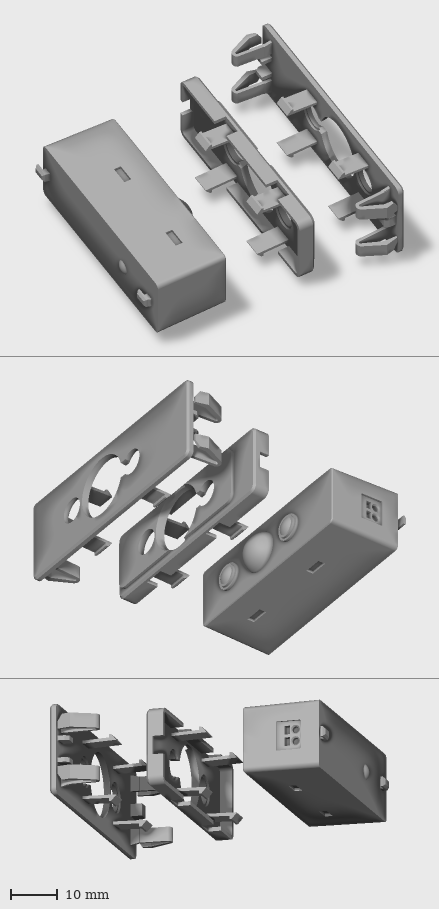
import cadquery as cq
import math


eye_x = 3.0
lens_xs = (-7.85, 14.0)
tab_xs = (-7.65, 13.9)
eye_inner_radius = 7.05
lens_hole_radius = 2.95
lens_counterbore_radius = 3.45
lens_counterbore_depth = 0.5
neck_half_height = 1.9
edge_chamfer = 0.5

plate_length = 57.1
plate_height = 20.0
plate_thickness = 1.5
plate_corner_radius = 1.4
plate_tab_width = 4.35
plate_tab_tip_y = -9.0
plate_eye_radius = 7.25

clip_bulge_x = 29.5
clip_bulge_y = -4.9
arm_tip_x = 28.7
arm_inner_x = 28.2
arm_knee_y = -4.8
bend_x = 26.0
bend_bottom_y = -10.45
bend_start_y = -9.8
bend_half_width = 1.1
crotch_x = 25.9
crotch_bottom_y = -9.7
crotch_start_y = -9.5
crotch_half_width = 0.3
clip_inner_z = 4.15
clip_outer_z = 7.3
clip_tip_y = -1.85
clip_tip_bevel_depth = 1.1
clip_tip_bevel_height = 1.55
leg_face_x = 24.4
leg_thickness = 0.7
gusset_height = 0.4
gusset_depth = 1.9

stop_outer_x = 27.55
stop_depth = 2.55
stop_bevel_width = 0.65
stop_bevel_depth = 0.9
wide_stop_height = 2.7
narrow_stop_height = 1.0
narrow_stop_z = 2.4

frame_center_x = 0.5
frame_length = 49.9
frame_height = 16.9
frame_corner_radius = 1.7
frame_face_y = -20.3
frame_back_y = -24.2
frame_wall = 0.9
frame_floor = 1.1
frame_inner_radius = frame_corner_radius - frame_wall
bezel_height = 0.8
bezel_start_x = -17.0
bezel_end_x = 24.0
bezel_width = 14.0
bezel_corner_radius = 1.9
frame_eye_radius = 7.55
frame_tab_width = 4.5
frame_tab_tip_y = -29.2
tab_slot_width = 5.0
cable_notch_width = 4.05
cable_notch_depth = 2.4

tab_inner_z = 5.8
tab_thickness = 0.65
tab_lean = 0.25
hook_peak_z = 7.4
hook_length = 1.55
hook_flat = 0.5
hook_nose = 0.2

housing_center_x = 0.5
housing_face_y = -41.55
housing_back_y = -58.7
housing_face_length = 47.6
housing_back_length = 48.1
housing_face_height = 14.5
housing_back_height = 14.95
housing_corner_radius = 1.0
housing_edge_chamfer = 0.25

dome_radius = 4.7
dome_height = 3.55
lens_rings = ((3.15, 0.65), (2.6, 1.2))
lens_cap_radius = 2.05
lens_height = 1.85

snap_slot_width = 4.4
snap_slot_start_y = -47.6
snap_slot_end_y = -49.25
snap_slot_bottom_z = 6.7

button_x = 9.9
button_radius = 1.6
button_height = 0.65

foot_tip_xs = (-24.5, 18.1)
foot_length = 3.55
foot_width = 2.2
foot_drop = 1.6
foot_gap = 0.7
foot_stem_x = 1.9
foot_flare = 0.3
foot_bevel = 0.5

recess_start_y = -49.15
recess_end_y = -54.65
recess_width = 6.4
recess_depth = 0.6
recess_corner_radius = 0.3
port_z = 1.25
port_depth = 1.2
port_slot_y = -51.45
port_slot_length = 1.15
port_slot_width = 1.85
port_hole_y = -53.25
port_hole_radius = 0.7
port_funnel_radius = 1.0
port_funnel_depth = 0.3


def plane_at(y):
    """Workplane across the stack; extrusions from it run toward -Y."""
    return cq.Workplane("XZ", origin=(0, y, 0))


def box(x_range, y_range, z_range):
    """Axis-aligned block between the given limits."""
    sizes = [abs(r[1] - r[0]) for r in (x_range, y_range, z_range)]
    middles = [(r[0] + r[1]) / 2 for r in (x_range, y_range, z_range)]
    return cq.Workplane("XY").box(*sizes).translate(tuple(middles))


def centered(middle, width):
    """Limits of a span of the given width around its middle."""
    return (middle - width / 2, middle + width / 2)


def rounded_block(center_x, length, height, radius, start_y, depth):
    """Block with rounded corners whose outer face lies at start_y."""
    block = plane_at(start_y).center(center_x, 0).rect(length, height).extrude(depth)
    return block.edges("|Y").fillet(radius)


def openings(start_y, end_y, eye_outer_radius):
    """Cutter for the conical eye opening, the counterbored lens holes and the neck."""
    depth = start_y - end_y
    cutter = (
        plane_at(start_y)
        .center(eye_x, 0)
        .circle(eye_outer_radius)
        .workplane(offset=depth)
        .circle(eye_inner_radius)
        .loft()
    )
    for x in lens_xs:
        hole = plane_at(start_y).center(x, 0).circle(lens_hole_radius).extrude(depth)
        counterbore = (
            plane_at(end_y + lens_counterbore_depth)
            .center(x, 0)
            .circle(lens_counterbore_radius)
            .extrude(lens_counterbore_depth)
        )
        cutter = cutter.union(hole).union(counterbore)
    neck = box((lens_xs[0], eye_x), (start_y, end_y), (-neck_half_height, neck_half_height))
    return cutter.union(neck)


def snap_tabs(root_y, tip_y, width):
    """Four hooked tabs, two above the openings and two mirrored below."""
    hook_y = tip_y + hook_length
    outer_z = tab_inner_z + tab_thickness
    profile = [
        (root_y, tab_inner_z),
        (tip_y, tab_inner_z + tab_lean),
        (tip_y, tab_inner_z + tab_lean + hook_nose),
        (hook_y - hook_flat, hook_peak_z),
        (hook_y, hook_peak_z),
        (hook_y, outer_z + tab_lean),
        (root_y, outer_z),
    ]
    tabs = []
    for x in tab_xs:
        tab = cq.Workplane("YZ", origin=(x - width / 2, 0, 0)).polyline(profile).close().extrude(width)
        tabs += [tab, tab.mirror("XY")]
    return tabs


def spring_clip():
    """V-shaped clip at the +X, +Z corner, with its gusset."""
    root_y = -plate_thickness
    leg_outer_x = leg_face_x + leg_thickness
    clip = (
        cq.Workplane("XY", origin=(0, 0, clip_inner_z))
        .moveTo(leg_face_x, root_y)
        .lineTo(leg_outer_x, root_y)
        .lineTo(crotch_x - crotch_half_width, crotch_start_y)
        .threePointArc((crotch_x, crotch_bottom_y), (crotch_x + crotch_half_width, crotch_start_y))
        .lineTo(arm_inner_x, arm_knee_y)
        .lineTo(arm_inner_x, clip_tip_y)
        .lineTo(arm_tip_x, clip_tip_y)
        .lineTo(clip_bulge_x, clip_bulge_y)
        .lineTo(bend_x + bend_half_width, bend_start_y)
        .threePointArc((bend_x, bend_bottom_y), (bend_x - bend_half_width, bend_start_y))
        .close()
        .extrude(clip_outer_z - clip_inner_z)
    )
    bevel = (
        cq.Workplane("YZ", origin=(arm_inner_x, 0, 0))
        .moveTo(clip_tip_y, clip_outer_z)
        .lineTo(clip_tip_y - clip_tip_bevel_depth, clip_outer_z)
        .lineTo(clip_tip_y, clip_outer_z - clip_tip_bevel_height)
        .close()
        .extrude(clip_bulge_x - arm_inner_x)
    )
    gusset = (
        cq.Workplane("YZ", origin=(leg_face_x, 0, 0))
        .moveTo(root_y, clip_inner_z)
        .lineTo(root_y, clip_outer_z + gusset_height)
        .lineTo(root_y - gusset_depth, clip_outer_z)
        .lineTo(root_y - gusset_depth, clip_inner_z)
        .close()
        .extrude(leg_thickness)
    )
    return clip.cut(bevel).union(gusset)


def stop_block(height, middle_z):
    """Locating block at the +X end, bevelled on its outer inward corner."""
    root_y = -plate_thickness
    tip_y = root_y - stop_depth
    profile = [
        (leg_face_x, root_y),
        (stop_outer_x, root_y),
        (stop_outer_x, tip_y + stop_bevel_depth),
        (stop_outer_x - stop_bevel_width, tip_y),
        (leg_face_x, tip_y),
    ]
    base = cq.Workplane("XY", origin=(0, 0, middle_z - height / 2))
    return base.polyline(profile).close().extrude(height)


def make_cover_plate():
    plate = rounded_block(0, plate_length, plate_height, plate_corner_radius, 0, plate_thickness)
    plate = plate.faces(">Y").chamfer(edge_chamfer)
    plate = plate.cut(openings(0, -plate_thickness, plate_eye_radius))

    clip = spring_clip()
    for right_clip in (clip, clip.mirror("XY")):
        plate = plate.union(right_clip).union(right_clip.mirror("YZ"))

    plate = plate.union(stop_block(wide_stop_height, 0))
    for z in (-narrow_stop_z, narrow_stop_z):
        plate = plate.union(stop_block(narrow_stop_height, z).mirror("YZ"))

    for tab in snap_tabs(-plate_thickness, plate_tab_tip_y, plate_tab_width):
        plate = plate.union(tab)
    return plate


def make_frame():
    depth = frame_face_y - frame_back_y
    floor_y = frame_face_y - frame_floor
    frame = rounded_block(
        frame_center_x, frame_length, frame_height, frame_corner_radius, frame_face_y, depth
    )
    frame = frame.faces(">Y").chamfer(edge_chamfer)
    tray = rounded_block(
        frame_center_x,
        frame_length - 2 * frame_wall,
        frame_height - 2 * frame_wall,
        frame_inner_radius,
        floor_y,
        depth - frame_floor,
    )
    frame = frame.cut(tray)

    bezel = rounded_block(
        (bezel_start_x + bezel_end_x) / 2,
        bezel_end_x - bezel_start_x,
        bezel_width,
        bezel_corner_radius,
        frame_face_y + bezel_height,
        bezel_height,
    )
    frame = frame.union(bezel)
    frame = frame.cut(openings(frame_face_y + bezel_height, floor_y, frame_eye_radius))

    for x in tab_xs:
        slots = box(
            centered(x, tab_slot_width),
            (floor_y, frame_back_y),
            (-frame_height, frame_height),
        )
        frame = frame.cut(slots)

    wall_x = frame_center_x - frame_length / 2
    cable_notch = box(
        (wall_x, wall_x + frame_wall),
        (frame_back_y, frame_back_y + cable_notch_depth),
        centered(0, cable_notch_width),
    )
    frame = frame.cut(cable_notch)

    for tab in snap_tabs(floor_y, frame_tab_tip_y, frame_tab_width):
        frame = frame.union(tab)
    return frame


def housing_shell():
    """Slightly tapered block, wider at the back."""
    shell = (
        plane_at(housing_face_y)
        .center(housing_center_x, 0)
        .rect(housing_face_length, housing_face_height)
        .workplane(offset=housing_face_y - housing_back_y)
        .rect(housing_back_length, housing_back_height)
        .loft()
    )
    shell = shell.edges("not(#Y)").fillet(housing_corner_radius)
    return shell.faces(">Y").chamfer(housing_edge_chamfer)


def spherical_cap(radius, height):
    """Cap on the origin that bulges toward +Y."""
    sphere_radius = (radius ** 2 + height ** 2) / (2 * height)
    arc_x = radius / 2
    arc_y = math.sqrt(sphere_radius ** 2 - arc_x ** 2) - (sphere_radius - height)
    return (
        cq.Workplane("XY")
        .moveTo(0, 0)
        .lineTo(radius, 0)
        .threePointArc((arc_x, arc_y), (0, height))
        .close()
        .revolve(360, (0, 0, 0), (0, 1, 0))
    )


def lens(x):
    """Stepped round lens with a domed cap."""
    body = cq.Workplane("XY")
    for radius, height in lens_rings:
        body = body.union(plane_at(housing_face_y + height).center(x, 0).circle(radius).extrude(height))
    cap_base = lens_rings[-1][1]
    cap = spherical_cap(lens_cap_radius, lens_height - cap_base)
    return body.union(cap.translate((x, housing_face_y + cap_base, 0)))


def mounting_foot(tip_x):
    """L-shaped foot under the back of the housing that points toward -X."""
    top_y = housing_back_y - foot_gap
    bottom_y = housing_back_y - foot_drop
    heel_x = tip_x + foot_length
    profile = [
        (tip_x + foot_stem_x, housing_back_y),
        (heel_x + foot_flare, housing_back_y),
        (heel_x, top_y),
        (heel_x, bottom_y),
        (tip_x, bottom_y),
        (tip_x, top_y),
        (tip_x + foot_stem_x, top_y),
    ]
    base = cq.Workplane("XY", origin=(0, 0, -foot_width / 2))
    foot = base.polyline(profile).close().extrude(foot_width)
    return foot.faces("<Y").chamfer(foot_bevel)


def connector_recess():
    """Cutter for the connector pocket in the -X end and its two ports."""
    wall_x = housing_center_x - housing_back_length / 2
    floor_x = wall_x + recess_depth
    cutter = box((wall_x, floor_x), (recess_start_y, recess_end_y), centered(0, recess_width))
    cutter = cutter.edges("|X and <Y").fillet(recess_corner_radius)
    for z in (-port_z, port_z):
        slot = box(
            (floor_x, floor_x + port_depth),
            centered(port_slot_y, port_slot_length),
            centered(z, port_slot_width),
        )
        hole_plane = cq.Workplane("YZ", origin=(floor_x, port_hole_y, z))
        hole = hole_plane.circle(port_hole_radius).extrude(port_depth)
        funnel = (
            cq.Workplane("YZ", origin=(floor_x, port_hole_y, z))
            .circle(port_funnel_radius)
            .workplane(offset=port_funnel_depth)
            .circle(port_hole_radius)
            .loft()
        )
        cutter = cutter.union(slot).union(hole).union(funnel)
    return cutter


def make_housing():
    housing = housing_shell()
    dome = spherical_cap(dome_radius, dome_height)
    housing = housing.union(dome.translate((eye_x, housing_face_y, 0)))
    for x in lens_xs:
        housing = housing.union(lens(x))

    for x in tab_xs:
        slot = box(
            centered(x, snap_slot_width),
            (snap_slot_start_y, snap_slot_end_y),
            (snap_slot_bottom_z, housing_back_height / 2),
        )
        housing = housing.cut(slot).cut(slot.mirror("XY"))

    button = spherical_cap(button_radius, button_height).mirror("XZ")
    housing = housing.union(button.translate((button_x, housing_back_y, 0)))
    for tip_x in foot_tip_xs:
        housing = housing.union(mounting_foot(tip_x))
    return housing.cut(connector_recess())


cover_plate = make_cover_plate()
frame = make_frame()
housing = make_housing()

result = cq.Compound.makeCompound([cover_plate.solids().val(), frame.solids().val(), housing.solids().val()])